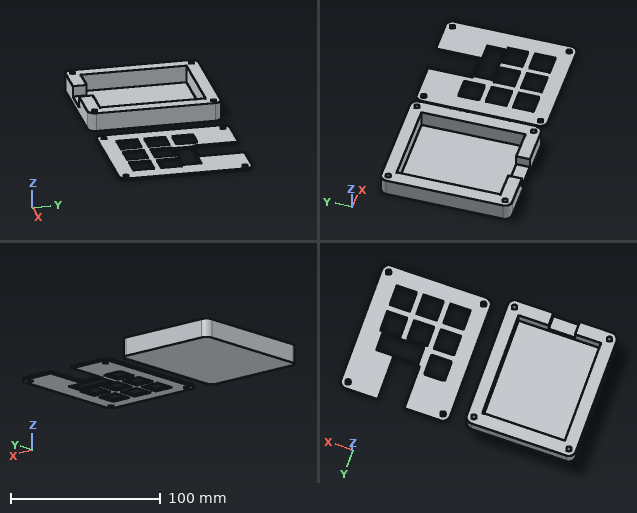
import cadquery as cq

outer_x = 77.35
outer_y = 91.5
corner_radius = 5.0
screw_inset = 5.0
screw_diameter = 3.4
opening_width = 18.7
opening_offset = 1.55

overall_x = 166.08
overall_y = 92.99
plate_center_x = overall_x - outer_x
plate_center_y = overall_y - outer_y

case_height = 13.0
floor_thickness = 1.0
pocket_x = 58.4
pocket_y = 72.4
notch_depth = 7.5
case_screw_depth = case_height - floor_thickness

plate_thickness = 1.6
slot_length = 31.0
key_size = 14.0
key_pitch = 19.05
key_columns = 3
key_rows = 2
first_key_x = -19.8
first_key_y = -26.55
encoder_size = 14.3
encoder_corner_radius = 1.0
screen_x = 29.5
screen_y = 12.3
screen_center_x = 8.5
screen_center_y = 7.1


def rounded_slab(height):
    """Rectangular slab with rounded vertical corners, standing on Z = 0."""
    slab = cq.Workplane("XY").box(outer_x, outer_y, height, centered=(True, True, False))
    return slab.edges("|Z").fillet(corner_radius)


def block(size_x, size_y, height, center_x, center_y, bottom):
    """Cutting block centred in X and Y, rising from the given bottom level."""
    cutter = cq.Workplane("XY").box(size_x, size_y, height, centered=(True, True, False))
    return cutter.translate((center_x, center_y, bottom))


def screw_holes(bottom, height):
    """Cutting cylinders for the four corner screws."""
    return (
        cq.Workplane("XY")
        .workplane(offset=bottom)
        .rect(outer_x - 2 * screw_inset, outer_y - 2 * screw_inset, forConstruction=True)
        .vertices()
        .circle(screw_diameter / 2)
        .extrude(height)
    )


def make_case():
    """Open-topped tray with a notch through its front wall and blind screw holes."""
    body = rounded_slab(case_height)
    pocket = block(pocket_x, pocket_y, case_height - floor_thickness, 0, 0, floor_thickness)
    notch_y = outer_y / 2
    notch = block(
        opening_width, notch_y, notch_depth, -opening_offset, -notch_y / 2, case_height - notch_depth
    )
    holes = screw_holes(case_height - case_screw_depth, case_screw_depth)
    return body.cut(pocket).cut(notch).cut(holes)


def plate_cutout(size_x, size_y, center_x, center_y):
    """Block that cuts through the full plate thickness."""
    return block(size_x, size_y, plate_thickness, center_x, center_y, 0)


def make_plate():
    """Cover plate with a controller slot and openings for keys, encoder and screen."""
    plate = rounded_slab(plate_thickness).cut(screw_holes(0, plate_thickness))
    slot_center_y = (outer_y - slot_length) / 2
    plate = plate.cut(plate_cutout(opening_width, slot_length, opening_offset, slot_center_y))
    plate = plate.cut(plate_cutout(screen_x, screen_y, screen_center_x, screen_center_y))

    for column in range(key_columns):
        for row in range(key_rows):
            key_x = first_key_x + column * key_pitch
            key_y = first_key_y + row * key_pitch
            plate = plate.cut(plate_cutout(key_size, key_size, key_x, key_y))

    encoder_y = first_key_y + key_rows * key_pitch
    encoder = plate_cutout(encoder_size, encoder_size, first_key_x, encoder_y)
    encoder = encoder.edges("|Z").fillet(encoder_corner_radius)
    return plate.cut(encoder).translate((plate_center_x, plate_center_y, 0))


case = make_case()
plate = make_plate()
result = cq.Compound.makeCompound([case.val(), plate.val()])